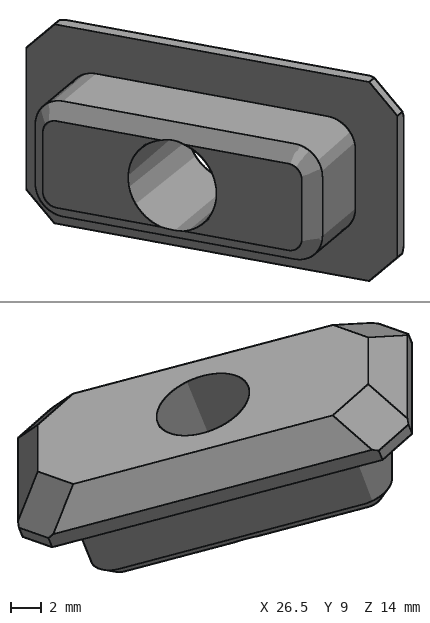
import cadquery as cq
import math

length = 26.5
height = 14.0
total_depth = 9.0
flange_depth = 3.0
corner_cut = 2.01
bevel = 2.01
back_corner_cut = 2.4

boss_length = 20.5
boss_height = 8.1
boss_radius = 2.0
boss_chamfer = 1.0
boss_depth = total_depth - flange_depth

hole_diameter = 6.3


def front_plane():
    """Plane of the flange's front face, with its normal toward -Y."""
    return cq.Workplane("XZ")


def diamond(reach):
    """Square standing on its corner in the XZ plane, reaching the given distance along X and Z."""
    return front_plane().polyline([(reach, 0), (0, reach), (-reach, 0), (0, -reach)]).close()


def make_flange():
    plate = (
        front_plane()
        .rect(length, height)
        .extrude(-flange_depth)
        .faces(">Y").chamfer(bevel)
    )
    corner_reach = (length + height) / 2
    corner_clip = diamond(corner_reach - corner_cut).extrude(-flange_depth)

    back_reach = corner_reach - 2 * bevel - back_corner_cut
    front_reach = back_reach + 2 * flange_depth
    corner_bevel_angle = math.degrees(math.atan(math.sqrt(2)))
    corner_bevels = diamond(front_reach).extrude(-flange_depth, taper=corner_bevel_angle)
    return plate.intersect(corner_clip).intersect(corner_bevels)


def make_boss():
    return (
        front_plane()
        .rect(boss_length, boss_height)
        .extrude(boss_depth)
        .edges("|Y").fillet(boss_radius)
        .faces("<Y").chamfer(boss_chamfer)
    )


def make_hole():
    return (
        front_plane()
        .workplane(offset=-flange_depth)
        .circle(hole_diameter / 2)
        .extrude(total_depth)
    )


result = make_flange().union(make_boss()).cut(make_hole())